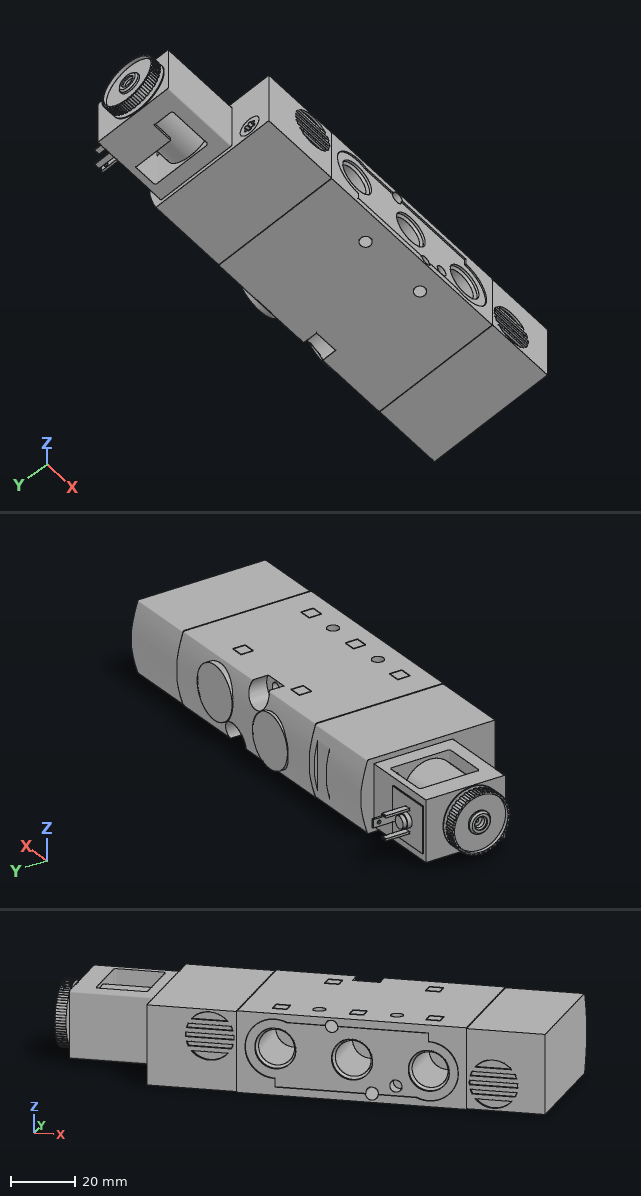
import cadquery as cq
import math

BODY_START = 63.0
BODY_END = 136.9
BODY_THICKNESS = 26.5
BODY_MID_X = (BODY_START + BODY_END) / 2
MID_Z = BODY_THICKNESS / 2
BACK_EDGE_Y = 47.7
BACK_CROWN_Y = 50.1
CROWN_HALF_HEIGHT = 3.2
BACK_SLOPE_Y = 49.1
BACK_EDGE_ROUND = 0.6
PICK_MARGIN = 0.2

CAP_INSET = 0.25
PILOT_CAP_START = 34.2
END_CAP_END = 162.2

PORT_PITCH = 24.6
PORT_RISE = 1.8
PORT_DIAMETER = 11.5
PORT_MOUTH_CHAMFER = 0.8
PORT_DEPTH = 22.7
SEAL_RECESS_DEPTH = 0.5
SEAL_RADIUS = 9.5
SEAL_HALF_HEIGHT = 10.5
PILOT_HOLE_DIAMETER = 3.9
PILOT_HOLE_OFFSET = (14.1, -7.5)
PILOT_HOLE_DEPTH = 4.9

MOUNT_DIAMETER = 4.0
MOUNT_OFFSET = (6.5, 10.4)
SCREW_SEAT_DIAMETER = 10.4
SCREW_SEAT_FLOOR_Y = 42.2
CROSS_HOLE_OFFSET = 12.5
CROSS_HOLE_Y = 8.1

BOSS_DIAMETER = 19.5
BOSS_OFFSET = 15.4
BOSS_FACE_Y = 50.5

LABEL_SIZE = 4.5
LABEL_DEPTH = 0.2
FRONT_LABEL_Y = 8.1
BACK_LABEL_Y = 39.2
BACK_LABEL_OFFSET = 16.2

GRILLE_DIAMETER = 15.5
GRILLE_OFFSET = 45.5
GRILLE_RISE = 4.4
GRILLE_PITCH = 2.9
GRILLE_SLOT = 1.5
GRILLE_DEPTH = 0.8
GRILLE_ROWS = 5

GROOVE_START = 53.5
GROOVE_END = 60.2
GROOVE_FLOOR_Y = 49.0

SCREW_DIAMETER = 8.0
SCREW_LENGTH = 13.0
SCREW_Y = 8.1
SCREW_Z = 5.5
SOCKET_CORE_DIAMETER = 2.9
SOCKET_LOBE_DIAMETER = 1.3
SOCKET_LOBE_RADIUS = 1.6
SOCKET_DEPTH = 1.6
SOCKET_LOBES = 6

COIL_START = 5.2
COIL_FRONT_Y = 15.5
COIL_BACK_Y = 45.4
COIL_HEIGHT = 22.0
COIL_EDGE_ROUND = 0.6
COIL_AXIS_Y = 28.2
WINDOW_START = 12.3
WINDOW_END = 28.9
WINDOW_FRONT_Y = 20.6
WINDOW_BACK_Y = 43.0
WINDOW_CORNER = 0.8
BOBBIN_DIAMETER = 19.6
LEDGE_END = 20.0
LEDGE_TOP = 4.9
LEDGE_BLOCK_END = 17.2
LEDGE_BLOCK_FRONT_Y = 39.4
LEDGE_BLOCK_HEIGHT = 1.6
POCKET_DEPTH = 3.4
POCKET_FRONT_Y = 39.9
POCKET_BACK_Y = 42.2
POCKET_FLOOR_Z = 18.0
POCKET_ROOF_Z = 21.7
COLLAR_THICKNESS = 0.3
COLLAR_DIAMETER = 21.5

PLUG_X = 14.8
PLUG_SIZE = 16.5
PLUG_THICKNESS = 0.5
STUD_DIAMETER = 5.2
STUD_SHOULDER_Y = 47.5
STUD_TIP_DIAMETER = 4.4
STUD_END_Y = 49.0

TERMINAL_THICKNESS = 0.8
TERMINAL_ROOT = 1.6
TERMINAL_TIP_BEVEL = 0.25
POWER_WIDTH = 2.1
POWER_OFFSET = 4.0
POWER_END_Y = 54.8
GROUND_X = 18.8
GROUND_WIDTH = 2.9
GROUND_END_Y = 56.3
GROUND_HOLE_DIAMETER = 1.3
GROUND_HOLE_Y = 54.0

NUT_DIAMETER = 21.5
NUT_LENGTH = 3.5
NUT_RIM_BORE = 20.0
NUT_RIM_DEPTH = 1.3
NUT_HUB_DIAMETER = 8.0
NUT_HUB_BEVEL = 0.6
NUT_BORE_DIAMETER = 3.7
NUT_BORE_BEVEL = 0.5
NUT_CENTRE_DIAMETER = 1.3
NUT_CENTRE_DEPTH = 3.2
NUT_BORE_DEPTH = 2.5
KNURL_COUNT = 36
KNURL_START_ANGLE = 5
KNURL_WIDTH = 1.0
KNURL_DEPTH = 0.3


def box(x0, x1, y0, y1, z0, z1):
    """Block between two corners."""
    return cq.Workplane("XY").box(x1 - x0, y1 - y0, z1 - z0, centered=False).translate((x0, y0, z0))


def rod_x(diameter, x0, x1, y, z):
    """Round bar along X."""
    return cq.Workplane("YZ", origin=(x0, y, z)).circle(diameter / 2).extrude(x1 - x0)


def rod_y(diameter, y0, y1, x, z):
    """Round bar along Y."""
    return cq.Workplane("XZ", origin=(x, y0, z)).circle(diameter / 2).extrude(y0 - y1)


def crowned_block(x0, x1, inset):
    """Block with a flat front and a back that curves up to a flat crown, its back edges rounded."""
    low = inset
    high = BODY_THICKNESS - inset
    slope_mid = (MID_Z - inset + CROWN_HALF_HEIGHT) / 2
    block = (
        cq.Workplane("YZ", origin=(x0, 0, 0))
        .moveTo(0, low)
        .lineTo(BACK_EDGE_Y, low)
        .threePointArc((BACK_SLOPE_Y, MID_Z - slope_mid), (BACK_CROWN_Y, MID_Z - CROWN_HALF_HEIGHT))
        .lineTo(BACK_CROWN_Y, MID_Z + CROWN_HALF_HEIGHT)
        .threePointArc((BACK_SLOPE_Y, MID_Z + slope_mid), (BACK_EDGE_Y, high))
        .lineTo(0, high)
        .close()
        .extrude(x1 - x0)
    )
    near_back_edges = cq.selectors.BoxSelector(
        (x0, BACK_EDGE_Y - PICK_MARGIN, -PICK_MARGIN),
        (x1, BACK_EDGE_Y + PICK_MARGIN, BODY_THICKNESS + PICK_MARGIN),
    )
    return block.edges("|X").edges(near_back_edges).fillet(BACK_EDGE_ROUND)


def port_centre(index):
    """X and Z of a front port; index -1, 0 or 1 along the body."""
    return BODY_MID_X + index * PORT_PITCH, MID_Z - index * PORT_RISE


def seal_recess():
    """Shallow recess around the three ports: a bar with a round at each outer port."""
    left_x, left_z = port_centre(-1)
    right_x, right_z = port_centre(1)
    depth = SEAL_RECESS_DEPTH
    bar = box(left_x, right_x, 0, depth, MID_Z - SEAL_HALF_HEIGHT, MID_Z + SEAL_HALF_HEIGHT)
    left_round = rod_y(2 * SEAL_RADIUS, 0, depth, left_x, left_z)
    right_round = rod_y(2 * SEAL_RADIUS, 0, depth, right_x, right_z)
    return bar.union(left_round).union(right_round)


def port(index):
    """Blind port with a chamfered mouth at the floor of the seal recess."""
    x, z = port_centre(index)
    bore = rod_y(PORT_DIAMETER, 0, PORT_DEPTH, x, z)
    mouth_end = SEAL_RECESS_DEPTH + 2 * PORT_MOUTH_CHAMFER
    mouth = rod_y(PORT_DIAMETER + 2 * PORT_MOUTH_CHAMFER, SEAL_RECESS_DEPTH, mouth_end, x, z)
    return bore.union(mouth.faces(">Y").chamfer(PORT_MOUTH_CHAMFER))


def label_pads():
    """Square pads sunk in the upper face, one beside each port."""
    spots = [(BODY_MID_X + i * PORT_PITCH, FRONT_LABEL_Y) for i in (-1, 0, 1)]
    spots += [(BODY_MID_X + side * BACK_LABEL_OFFSET, BACK_LABEL_Y) for side in (-1, 1)]
    floor = cq.Workplane("XY", origin=(0, 0, BODY_THICKNESS - LABEL_DEPTH))
    return floor.pushPoints(spots).rect(LABEL_SIZE, LABEL_SIZE).extrude(LABEL_DEPTH)


def make_body():
    """Valve body with ports, mounting holes and the two back bosses."""
    body = crowned_block(BODY_START, BODY_END, 0)
    for side in (-1, 1):
        boss_x = BODY_MID_X + side * BOSS_OFFSET
        boss_z = MID_Z + side * PORT_RISE
        body = body.union(rod_y(BOSS_DIAMETER, SCREW_SEAT_FLOOR_Y, BOSS_FACE_Y, boss_x, boss_z))

    body = body.cut(seal_recess())
    for index in (-1, 0, 1):
        body = body.cut(port(index))
    pilot_dx, pilot_dz = PILOT_HOLE_OFFSET
    body = body.cut(
        rod_y(PILOT_HOLE_DIAMETER, 0, PILOT_HOLE_DEPTH, BODY_MID_X + pilot_dx, MID_Z + pilot_dz)
    )

    mount_dx, mount_dz = MOUNT_OFFSET
    for side in (-1, 1):
        mount_x = BODY_MID_X + side * mount_dx
        mount_z = MID_Z - side * mount_dz
        body = body.cut(rod_y(MOUNT_DIAMETER, 0, BOSS_FACE_Y, mount_x, mount_z))
        body = body.cut(
            rod_y(SCREW_SEAT_DIAMETER, SCREW_SEAT_FLOOR_Y, BOSS_FACE_Y, mount_x, mount_z)
        )
        cross_x = BODY_MID_X + side * CROSS_HOLE_OFFSET
        cross_hole = cq.Workplane("XY", origin=(cross_x, CROSS_HOLE_Y, 0)).circle(MOUNT_DIAMETER / 2)
        body = body.cut(cross_hole.extrude(BODY_THICKNESS))
    return body.cut(label_pads())


def grille(side):
    """Round field of level slots in the front face; side -1 is the pilot end, 1 the far end."""
    x = BODY_MID_X + side * GRILLE_OFFSET
    z = MID_Z - side * GRILLE_RISE
    slots = (
        cq.Workplane("XZ", origin=(x, 0, z))
        .rarray(1.6, GRILLE_PITCH, 1, GRILLE_ROWS)
        .rect(GRILLE_DIAMETER, GRILLE_SLOT)
        .extrude(-GRILLE_DEPTH)
    )
    outer_edge = (GRILLE_ROWS - 1) / 2 * GRILLE_PITCH - GRILLE_SLOT / 2
    radius = GRILLE_DIAMETER / 2
    slots = slots.union(box(x - radius, x + radius, 0, GRILLE_DEPTH, z + outer_edge, z + radius))
    slots = slots.union(box(x - radius, x + radius, 0, GRILLE_DEPTH, z - radius, z - outer_edge))
    return slots.intersect(rod_y(GRILLE_DIAMETER, 0, GRILLE_DEPTH, x, z))


def make_pilot_cap():
    """Cap between the coil and the body, with a seat for its screw."""
    cap = crowned_block(PILOT_CAP_START, BODY_START, CAP_INSET).cut(grille(-1))
    cap = cap.cut(box(GROOVE_START, GROOVE_END, GROOVE_FLOOR_Y, BACK_CROWN_Y, 0, BODY_THICKNESS))
    seat = rod_x(SCREW_DIAMETER, PILOT_CAP_START, PILOT_CAP_START + SCREW_LENGTH, SCREW_Y, SCREW_Z)
    return cap.cut(seat)


def make_end_cap():
    """Plain cap at the far end."""
    return crowned_block(BODY_END, END_CAP_END, CAP_INSET).cut(grille(1))


def make_cap_screw():
    """Flush screw with a six-lobed socket."""
    socket_end = PILOT_CAP_START + SOCKET_DEPTH
    screw = rod_x(SCREW_DIAMETER, PILOT_CAP_START, PILOT_CAP_START + SCREW_LENGTH, SCREW_Y, SCREW_Z)
    screw = screw.cut(rod_x(SOCKET_CORE_DIAMETER, PILOT_CAP_START, socket_end, SCREW_Y, SCREW_Z))
    for lobe in range(SOCKET_LOBES):
        angle = math.pi / 2 + lobe * 2 * math.pi / SOCKET_LOBES
        lobe_y = SCREW_Y + SOCKET_LOBE_RADIUS * math.cos(angle)
        lobe_z = SCREW_Z + SOCKET_LOBE_RADIUS * math.sin(angle)
        screw = screw.cut(rod_x(SOCKET_LOBE_DIAMETER, PILOT_CAP_START, socket_end, lobe_y, lobe_z))
    return screw


def make_power_terminal(side):
    """Flat blade lying level; side 1 is above mid thickness and -1 below."""
    z = MID_Z + side * POWER_OFFSET
    half = TERMINAL_THICKNESS / 2
    root_y = COIL_BACK_Y - TERMINAL_ROOT
    blade = box(
        PLUG_X - POWER_WIDTH / 2, PLUG_X + POWER_WIDTH / 2,
        root_y, POWER_END_Y,
        z - half, z + half,
    )
    return blade.faces(">Y").edges("|X").chamfer(TERMINAL_TIP_BEVEL)


def make_ground_terminal():
    """Upright blade with a hole near its tip."""
    half = TERMINAL_THICKNESS / 2
    blade = box(
        GROUND_X - half, GROUND_X + half,
        COIL_BACK_Y - TERMINAL_ROOT, GROUND_END_Y,
        MID_Z - GROUND_WIDTH / 2, MID_Z + GROUND_WIDTH / 2,
    )
    blade = blade.faces(">Y").edges("|Z").chamfer(TERMINAL_TIP_BEVEL)
    return blade.cut(rod_x(GROUND_HOLE_DIAMETER, GROUND_X - half, GROUND_X + half, GROUND_HOLE_Y, MID_Z))


def make_coil():
    """Coil frame with an open window, the bobbin crossing it and the plug base behind."""
    low = MID_Z - COIL_HEIGHT / 2
    high = MID_Z + COIL_HEIGHT / 2
    coil = box(COIL_START, PILOT_CAP_START, COIL_FRONT_Y, COIL_BACK_Y, low, high)
    coil = coil.faces("<Y").edges("|X").fillet(COIL_EDGE_ROUND)

    window = box(WINDOW_START, WINDOW_END, WINDOW_FRONT_Y, WINDOW_BACK_Y, low, high)
    coil = coil.cut(window.edges("|Z").fillet(WINDOW_CORNER))
    coil = coil.union(rod_x(BOBBIN_DIAMETER, WINDOW_START, WINDOW_END, COIL_AXIS_Y, MID_Z))

    coil = coil.union(box(WINDOW_START, LEDGE_END, COIL_AXIS_Y, WINDOW_BACK_Y, low, LEDGE_TOP))
    block_top = LEDGE_TOP + LEDGE_BLOCK_HEIGHT
    coil = coil.union(
        box(WINDOW_START, LEDGE_BLOCK_END, LEDGE_BLOCK_FRONT_Y, WINDOW_BACK_Y, low, block_top)
    )

    pocket_end = WINDOW_END + POCKET_DEPTH
    coil = coil.cut(
        box(WINDOW_END, pocket_end, POCKET_FRONT_Y, POCKET_BACK_Y, POCKET_FLOOR_Z, POCKET_ROOF_Z)
    )

    collar = rod_x(COLLAR_DIAMETER, COIL_START - COLLAR_THICKNESS, COIL_START, COIL_AXIS_Y, MID_Z)
    coil = coil.union(collar)

    half = PLUG_SIZE / 2
    base = box(
        PLUG_X - half, PLUG_X + half,
        COIL_BACK_Y, COIL_BACK_Y + PLUG_THICKNESS,
        MID_Z - half, MID_Z + half,
    )
    coil = coil.union(base)
    coil = coil.union(rod_y(STUD_DIAMETER, COIL_BACK_Y, STUD_SHOULDER_Y, PLUG_X, MID_Z))
    coil = coil.union(rod_y(STUD_TIP_DIAMETER, STUD_SHOULDER_Y, STUD_END_Y, PLUG_X, MID_Z))

    for terminal in (*power_terminals, ground_terminal):
        coil = coil.cut(terminal)
    return coil


def make_coil_nut():
    """Knurled nut: a dished face with a bevelled, bored hub, and a neck reaching the coil."""
    nut = rod_x(NUT_DIAMETER, 0, NUT_LENGTH, COIL_AXIS_Y, MID_Z)
    for tooth in range(KNURL_COUNT):
        groove = box(
            0, NUT_LENGTH,
            COIL_AXIS_Y - KNURL_WIDTH / 2, COIL_AXIS_Y + KNURL_WIDTH / 2,
            MID_Z + NUT_DIAMETER / 2 - KNURL_DEPTH, MID_Z + NUT_DIAMETER,
        )
        angle = KNURL_START_ANGLE + tooth * 360 / KNURL_COUNT
        axis_start = (0, COIL_AXIS_Y, MID_Z)
        axis_end = (1, COIL_AXIS_Y, MID_Z)
        nut = nut.cut(groove.rotate(axis_start, axis_end, angle))
    nut = nut.cut(rod_x(NUT_RIM_BORE, 0, NUT_RIM_DEPTH, COIL_AXIS_Y, MID_Z))
    hub = rod_x(NUT_HUB_DIAMETER, 0, COIL_START - COLLAR_THICKNESS, COIL_AXIS_Y, MID_Z)
    nut = nut.union(hub.faces("<X").chamfer(NUT_HUB_BEVEL))
    mouth = rod_x(NUT_BORE_DIAMETER + 2 * NUT_BORE_BEVEL, 0, 2 * NUT_BORE_BEVEL, COIL_AXIS_Y, MID_Z)
    nut = nut.cut(mouth.faces(">X").chamfer(NUT_BORE_BEVEL))
    nut = nut.cut(rod_x(NUT_BORE_DIAMETER, 0, NUT_BORE_DEPTH, COIL_AXIS_Y, MID_Z))
    return nut.cut(rod_x(NUT_CENTRE_DIAMETER, 0, NUT_CENTRE_DEPTH, COIL_AXIS_Y, MID_Z))


body = make_body()
pilot_cap = make_pilot_cap()
end_cap = make_end_cap()
cap_screw = make_cap_screw()
power_terminals = [make_power_terminal(side) for side in (-1, 1)]
ground_terminal = make_ground_terminal()
coil = make_coil()
coil_nut = make_coil_nut()

result = cq.Compound.makeCompound([
    body.val(),
    pilot_cap.val(),
    end_cap.val(),
    cap_screw.val(),
    coil.val(),
    coil_nut.val(),
    *[terminal.val() for terminal in power_terminals],
    ground_terminal.val(),
])